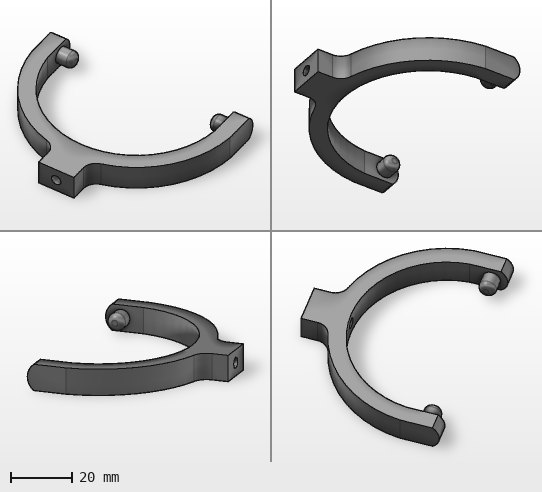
import cadquery as cq
import math


thickness = 9.0
overall_width = 77.4
overall_length = 57.98
band_width = 6.0

tip_y = 10.15
arm_start_y = -3.35
tip_radius = 5.5

stem_width = 13.8
stem_fillet_radius = 5.0
stem_hole_diameter = 3.6

pin_diameter = 6.0
pin_length = 6.0
pin_edge_radius = 2.0

arm_outer_x = overall_width / 2
arm_inner_x = arm_outer_x - band_width
ring_outer_radius = math.hypot(arm_outer_x, arm_start_y)
ring_inner_radius = ring_outer_radius - band_width
inner_arm_start_y = -math.sqrt(ring_inner_radius**2 - arm_inner_x**2)
stem_end_y = tip_y - overall_length
pin_y = tip_y - tip_radius


def make_fork():
    """U-shaped band: two straight arms joined by a ring arc."""
    return (
        cq.Workplane("XY", origin=(0, 0, -thickness / 2))
        .moveTo(-arm_outer_x, tip_y)
        .lineTo(-arm_outer_x, arm_start_y)
        .threePointArc((0, -ring_outer_radius), (arm_outer_x, arm_start_y))
        .lineTo(arm_outer_x, tip_y)
        .lineTo(arm_inner_x, tip_y)
        .lineTo(arm_inner_x, inner_arm_start_y)
        .threePointArc((0, -ring_inner_radius), (-arm_inner_x, inner_arm_start_y))
        .lineTo(-arm_inner_x, tip_y)
        .close()
        .extrude(thickness)
    )


def make_stem():
    """Stem below the ring, flared into it by fillets tangent to both."""
    half_width = stem_width / 2
    fillet_x = half_width + stem_fillet_radius
    centre_distance = ring_outer_radius + stem_fillet_radius
    fillet_y = -math.sqrt(centre_distance**2 - fillet_x**2)

    contact_ratio = ring_outer_radius / centre_distance
    contact_x = fillet_x * contact_ratio
    contact_y = fillet_y * contact_ratio

    contact_angle = math.atan2(contact_y - fillet_y, contact_x - fillet_x)
    middle_angle = (contact_angle + math.pi) / 2
    middle_x = fillet_x + stem_fillet_radius * math.cos(middle_angle)
    middle_y = fillet_y + stem_fillet_radius * math.sin(middle_angle)

    root_y = -(ring_outer_radius + ring_inner_radius) / 2
    return (
        cq.Workplane("XY", origin=(0, 0, -thickness / 2))
        .moveTo(-half_width, stem_end_y)
        .lineTo(half_width, stem_end_y)
        .lineTo(half_width, fillet_y)
        .threePointArc((middle_x, middle_y), (contact_x, contact_y))
        .lineTo(half_width, root_y)
        .lineTo(-half_width, root_y)
        .lineTo(-contact_x, contact_y)
        .threePointArc((-middle_x, middle_y), (-half_width, fillet_y))
        .close()
        .extrude(thickness)
    )


def make_tip_envelope():
    """Bar across the whole width whose +Y end is rounded about the pin axis."""
    rounding = (
        cq.Workplane("YZ", origin=(-arm_outer_x, pin_y, 0))
        .circle(tip_radius)
        .extrude(overall_width)
    )
    body_length = pin_y - stem_end_y
    body = cq.Workplane("XY").box(overall_width, body_length, thickness)
    return body.translate((0, stem_end_y + body_length / 2, 0)).union(rounding)


def make_pin(side):
    """Pin pointing inward from the arm on the given side (-1 or +1)."""
    inward = cq.Plane(origin=(side * arm_inner_x, pin_y, 0), xDir=(0, 1, 0), normal=(-side, 0, 0))
    return (
        cq.Workplane(inward)
        .circle(pin_diameter / 2)
        .extrude(pin_length)
        .faces(cq.selectors.DirectionMinMaxSelector(cq.Vector(-side, 0, 0)))
        .edges()
        .fillet(pin_edge_radius)
    )


def make_stem_hole():
    """Hole along Y through the stem and the ring band."""
    return (
        cq.Workplane("XZ", origin=(0, stem_end_y, 0))
        .circle(stem_hole_diameter / 2)
        .extrude(stem_end_y)
    )


result = make_fork().union(make_stem()).intersect(make_tip_envelope())
for arm_side in (-1, 1):
    result = result.union(make_pin(arm_side))
result = result.cut(make_stem_hole())